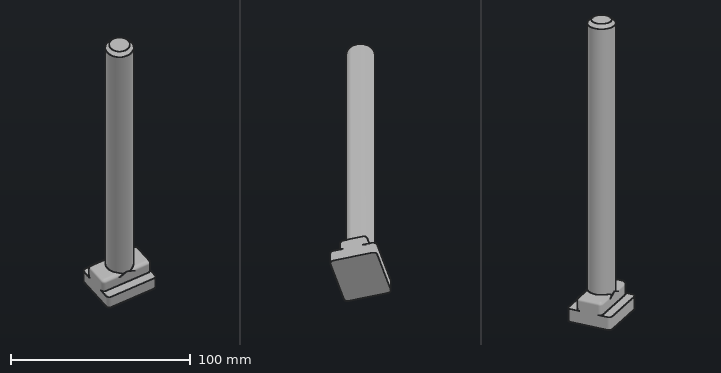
import cadquery as cq

total_height = 183.0
stud_diameter = 16.0
flange_width = 27.0
head_length = 32.0
flange_height = 8.0
head_height = 16.1
edge_size = 2.2

runout_length = 5.1

neck_width = stud_diameter


def rounded_block(width, height):
    """Block standing on Z = 0 with rounded vertical corners."""
    block = cq.Workplane("XY").box(width, head_length, height, centered=(True, True, False))
    return block.edges("|Z").fillet(edge_size)


def make_stud():
    """Round stud running from the base to its chamfered tip."""
    stud = cq.Workplane("XY").circle(stud_diameter / 2).extrude(total_height)
    return stud.faces(">Z").chamfer(edge_size)


def make_runouts():
    """Wedge across the neck that fades the rim rounding to a sharp edge where the stud is tangent."""
    rounding_start = head_height - edge_size
    return (
        cq.Workplane("YZ")
        .moveTo(-runout_length, rounding_start)
        .lineTo(0, head_height)
        .lineTo(runout_length, rounding_start)
        .close()
        .extrude(neck_width / 2, both=True)
    )


flange = rounded_block(flange_width, flange_height)
neck = rounded_block(neck_width, head_height).faces(">Z").edges().fillet(edge_size)

result = flange.union(neck).union(make_stud()).union(make_runouts())